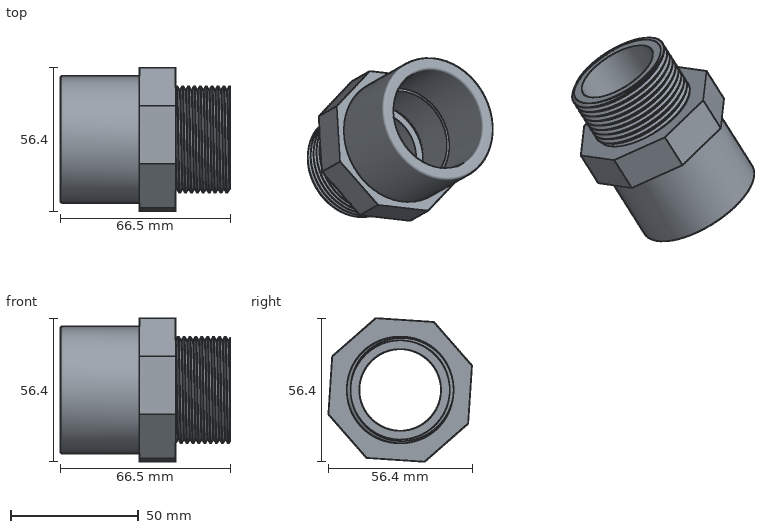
import cadquery as cq
import math

TOTAL_LENGTH = 66.5
HEX_START = 31.0
THREAD_START = 45.2
SOCKET_DEPTH = 26.35
STEP_DEPTH = THREAD_START

SOCKET_OUTER_DIAMETER = 50.0
SOCKET_BORE_DIAMETER = 40.0
STEP_BORE_DIAMETER = 38.0
THROUGH_BORE_DIAMETER = 31.9
MOUTH_FILLET = 1.0

COLLAR_SIDES = 8
COLLAR_ACROSS_FLATS = 55.0
COLLAR_TURN = -3.8

THREAD_ROOT_DIAMETER = 38.9
THREAD_CREST_DIAMETER = 41.9
THREAD_PITCH = 2.31
THREAD_CREST_WIDTH = 0.25
THREAD_FLANK_ANGLE = 62.0
THREAD_CREST_AT_TOP = 46.2
THREAD_ROOT_OVERLAP = 0.1


def cylinder(diameter, start, end):
    """Solid cylinder along X between two X positions."""
    return cq.Workplane("YZ", origin=(start, 0, 0)).circle(diameter / 2).extrude(end - start)


def make_collar():
    """Octagonal prism, turned a little about X."""
    across_corners = COLLAR_ACROSS_FLATS / math.cos(math.pi / COLLAR_SIDES)
    corner_turn = 180 / COLLAR_SIDES + COLLAR_TURN
    return (
        cq.Workplane("YZ", origin=(HEX_START, 0, 0))
        .transformed(rotate=(0, 0, corner_turn))
        .polygon(COLLAR_SIDES, across_corners)
        .extrude(THREAD_START - HEX_START)
    )


def make_fitting():
    """Socket, collar and thread core with a stepped bore, in one body."""
    socket = cylinder(SOCKET_OUTER_DIAMETER, 0, HEX_START)
    core = cylinder(THREAD_ROOT_DIAMETER, THREAD_START, TOTAL_LENGTH)
    body = socket.union(make_collar()).union(core)

    body = body.cut(cylinder(SOCKET_BORE_DIAMETER, 0, SOCKET_DEPTH))
    body = body.cut(cylinder(STEP_BORE_DIAMETER, SOCKET_DEPTH, STEP_DEPTH))
    body = body.cut(cylinder(THROUGH_BORE_DIAMETER, STEP_DEPTH, TOTAL_LENGTH))
    return body.faces("<X").edges().fillet(MOUTH_FILLET)


def make_thread():
    """Helical ridge wound on the core and cut square at both ends."""
    root_radius = THREAD_ROOT_DIAMETER / 2
    crest_radius = THREAD_CREST_DIAMETER / 2
    base_radius = root_radius - THREAD_ROOT_OVERLAP
    crest_half = THREAD_CREST_WIDTH / 2
    flank_slope = math.tan(math.radians(THREAD_FLANK_ANGLE / 2))
    base_half = crest_half + (crest_radius - base_radius) * flank_slope

    helix_start = THREAD_CREST_AT_TOP - 2 * THREAD_PITCH
    turns = math.ceil((TOTAL_LENGTH - helix_start) / THREAD_PITCH) + 1
    helix = cq.Wire.makeHelix(THREAD_PITCH, turns * THREAD_PITCH, root_radius)
    ridge = (
        cq.Workplane("XZ")
        .moveTo(base_radius, -base_half)
        .lineTo(crest_radius, -crest_half)
        .lineTo(crest_radius, crest_half)
        .lineTo(base_radius, base_half)
        .close()
        .sweep(cq.Workplane(obj=helix), isFrenet=True)
    )
    ridge = (
        ridge.rotate((0, 0, 0), (0, 1, 0), 90)
        .rotate((0, 0, 0), (1, 0, 0), 180)
        .translate((helix_start, 0, 0))
    )
    length_limit = cylinder(2 * crest_radius + THREAD_PITCH, THREAD_START, TOTAL_LENGTH)
    core = cylinder(THREAD_ROOT_DIAMETER, helix_start, TOTAL_LENGTH + THREAD_PITCH)
    return ridge.intersect(length_limit).cut(core)


fitting = make_fitting()
thread = make_thread()

result = cq.Compound.makeCompound([*fitting.vals(), *thread.vals()])